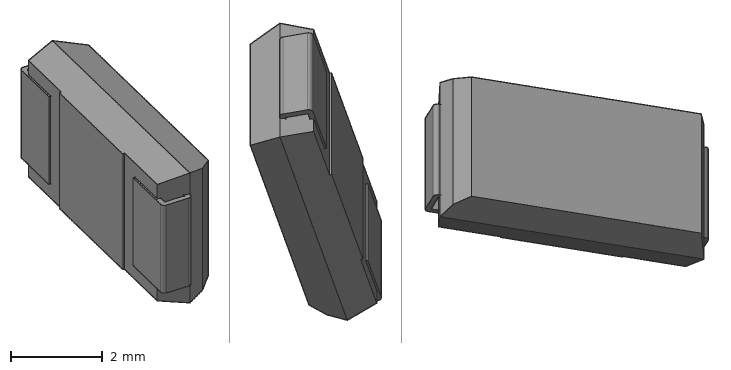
import cadquery as cq

length = 6.3
depth = 1.5
case_length = 6.05
case_height = 3.4
front_depth = 0.755
back_depth = depth - front_depth

side_inset = 0.19
front_end_inset = 0.2
back_end_inset = 0.295

bevel_inset = 0.485
bevel_depth = 0.33

pad_length = 2.8
pad_rise = 0.045

lead_height = 2.3
lead_thickness = 0.125
lead_reach = 1.3
lead_corner_radius = 0.1

mount_y = -front_depth
back_y = back_depth


def make_frustum(end_y, end_inset):
    """Tapered block from the parting plane to a smaller rectangle at end_y."""
    return (
        cq.Workplane("XZ")
        .rect(case_length, case_height)
        .workplane(offset=-end_y)
        .rect(case_length - 2 * end_inset, case_height - 2 * side_inset)
        .loft(ruled=True)
    )


def make_lead(side):
    """C-shaped lead; side is -1 for the -X end and +1 for the +X end."""
    outer_x = side * length / 2
    wall_x = side * (length / 2 - lead_thickness)
    inner_x = side * (length / 2 - lead_reach)
    profile = [
        (inner_x, mount_y),
        (outer_x, mount_y),
        (outer_x, 0),
        (inner_x, 0),
        (inner_x, -lead_thickness),
        (wall_x, -lead_thickness),
        (wall_x, mount_y + lead_thickness),
        (inner_x, mount_y + lead_thickness),
    ]
    bent_strip = (
        cq.Workplane("XY")
        .polyline(profile)
        .close()
        .extrude(lead_height / 2, both=True)
    )
    outer_face = "<X" if side < 0 else ">X"
    return bent_strip.faces(outer_face).edges("|Z").fillet(lead_corner_radius)


def make_back_half():
    """Back half of the case, with the polarity bevel along its +X end."""
    half = make_frustum(back_y, back_end_inset)
    bevel_top_x = case_length / 2 - bevel_inset
    bevel_low_y = back_y - bevel_depth
    bevel_low_x = case_length / 2 - back_end_inset * bevel_low_y / back_depth
    bevel = (
        cq.Workplane("XY")
        .polyline([(bevel_top_x, back_y), (bevel_low_x, back_y), (bevel_low_x, bevel_low_y)])
        .close()
        .extrude(case_height / 2, both=True)
    )
    return half.cut(bevel)


def make_front_half(leads):
    """Mounting half of the case, with its raised pad and recesses for the leads."""
    half = make_frustum(mount_y, front_end_inset)
    step_length = (case_length - pad_length) / 2
    for side in (-1, 1):
        step_x = side * (pad_length + step_length) / 2
        step = (
            cq.Workplane("XY")
            .box(step_length, pad_rise, case_height)
            .translate((step_x, mount_y + pad_rise / 2, 0))
        )
        half = half.cut(step)
    for lead in leads:
        half = half.cut(lead)
    return half


leads = [make_lead(side) for side in (-1, 1)]
back_half = make_back_half()
front_half = make_front_half(leads)

result = cq.Compound.makeCompound(
    [body.solids().val() for body in (back_half, front_half, *leads)]
)